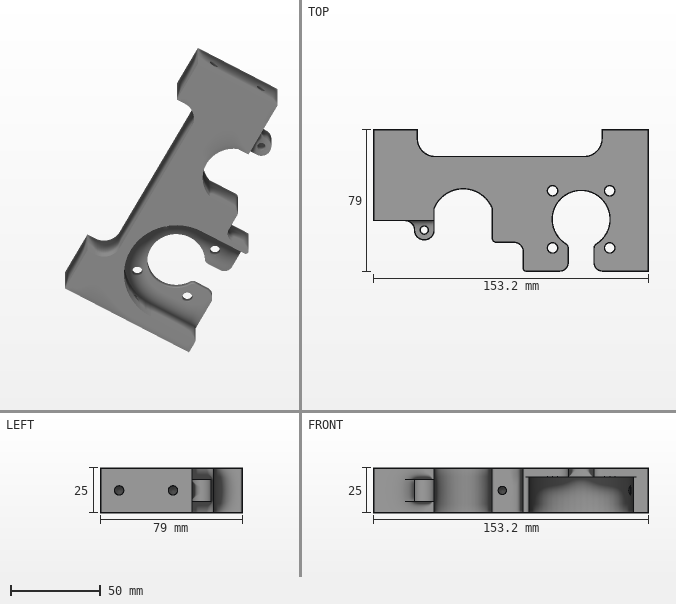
import cadquery as cq
import math

length = 153.2
width = 79.0
height = 25.0
mid_height = height / 2

notch_left = 24.4
notch_right = 127.3
notch_depth = 15.0
notch_radius = 10.0

left_front = 28.2
step_front = 16.1
step_right = 83.3
step_inner_radius = 5.0
step_outer_radius = 2.5
wall_tip_radius = 1.5

channel_left = 33.7
channel_right = 66.0
channel_radius = 17.5
channel_center_y = 28.5

motor_x = 115.7
motor_y = 29.0
roof = 4.9
pocket_radius = 29.1
pocket_mouth_radius = 1.5
bore_radius = 16.1
slit_width = 14.2
slit_mouth_radius = 4.9
slit_inner_radius = 3.0
bolt_pitch = 31.9
bolt_diameter = 5.7

lug_radius = 5.5
lug_x = channel_left - lug_radius
lug_y = 23.0
lug_height = 12.4
lug_fillet = 5.0
lug_hole_diameter = 4.5

drill_point_angle = 118.0
left_hole_ys = (38.8, 68.8)
right_hole_ys = (40.0, 68.8)
side_hole_diameter = 5.2
side_hole_depth = 10.0
front_hole_x = 71.7
front_hole_diameter = 4.6
front_hole_depth = 10.0


def box(x0, x1, y0, y1, z0=0.0, z1=height):
    return cq.Workplane("XY").box(x1 - x0, y1 - y0, z1 - z0, centered=False).translate((x0, y0, z0))


def cylinder(x, y, radius, z0=0.0, z1=height):
    return cq.Workplane("XY", origin=(x, y, z0)).circle(radius).extrude(z1 - z0)


def fillet_upright(body, x, y, radius):
    """Round the single upright edge nearest to (x, y)."""
    return body.edges("|Z").edges(cq.selectors.NearestToPointSelector((x, y, mid_height))).fillet(radius)


def drill(start, direction, diameter, depth):
    """Hole with a conical bottom, going from start along direction."""
    radius = diameter / 2
    tip = radius / math.tan(math.radians(drill_point_angle / 2))
    axis = cq.Vector(*direction)
    shaft = cq.Solid.makeCylinder(radius, depth, cq.Vector(*start), axis)
    point = cq.Solid.makeCone(radius, 0, tip, cq.Vector(*start) + axis * depth, axis)
    return cq.Workplane(shaft.fuse(point))


def make_block():
    notch_front = width - notch_depth
    outline = [
        (0, left_front),
        (channel_right, left_front),
        (channel_right, step_front),
        (step_right, step_front),
        (step_right, 0),
        (length, 0),
        (length, width),
        (notch_right, width),
        (notch_right, notch_front),
        (notch_left, notch_front),
        (notch_left, width),
        (0, width),
    ]
    block = cq.Workplane("XY").polyline(outline).close().extrude(height)
    for x in (notch_left, notch_right):
        block = fillet_upright(block, x, notch_front, notch_radius)
    block = fillet_upright(block, channel_right, step_front, step_outer_radius)
    block = fillet_upright(block, step_right, step_front, step_inner_radius)
    return fillet_upright(block, step_right, 0, wall_tip_radius)


def make_channel():
    strip = box(channel_left, channel_right, 0, width)
    round_end = cylinder((channel_left + channel_right) / 2, channel_center_y, channel_radius)
    lower_part = box(channel_left, channel_right, 0, channel_center_y)
    return round_end.intersect(strip).union(lower_part)


def make_pocket():
    ceiling = height - roof
    straight = box(motor_x - pocket_radius, motor_x + pocket_radius, 0, motor_y, 0, ceiling)
    return cylinder(motor_x, motor_y, pocket_radius, 0, ceiling).union(straight)


def cut_motor_seat(body):
    half_slit = slit_width / 2
    slit = box(motor_x - half_slit, motor_x + half_slit, 0, motor_y)
    body = body.cut(cylinder(motor_x, motor_y, bore_radius)).cut(slit)
    slit_end_y = motor_y - math.sqrt(bore_radius**2 - half_slit**2)
    for side in (-1, 1):
        x = motor_x + side * half_slit
        body = fillet_upright(body, x, 0, slit_mouth_radius)
        body = fillet_upright(body, x, slit_end_y, slit_inner_radius)
    body = body.cut(make_pocket())
    for side in (-1, 1):
        for end in (-1, 1):
            x = motor_x + side * bolt_pitch / 2
            y = motor_y + end * bolt_pitch / 2
            body = body.cut(cylinder(x, y, bolt_diameter / 2))
    return body


def round_pocket_mouth(body):
    ceiling = height - roof
    for side in (-1, 1):
        corner = (motor_x + side * pocket_radius, 0, ceiling / 2)
        edge = body.edges("|Z").edges(cq.selectors.NearestToPointSelector(corner))
        body = edge.fillet(pocket_mouth_radius)
    return body


def make_lug():
    bottom = mid_height - lug_height / 2
    top = mid_height + lug_height / 2
    left = lug_x - lug_radius
    lug = cylinder(lug_x, lug_y, lug_radius, bottom, top)
    lug = lug.union(box(left, channel_left, lug_y, left_front, bottom, top))
    flare = box(left - lug_fillet, left, left_front - lug_fillet, left_front, bottom, top)
    flare = flare.cut(cylinder(left - lug_fillet, left_front - lug_fillet, lug_fillet, bottom, top))
    lug = lug.union(flare)
    return lug.cut(cylinder(lug_x, lug_y, lug_hole_diameter / 2))


result = make_block().cut(make_channel())
result = round_pocket_mouth(cut_motor_seat(result))
result = result.union(make_lug())
for hole_y in left_hole_ys:
    result = result.cut(drill((0, hole_y, mid_height), (1, 0, 0), side_hole_diameter, side_hole_depth))
for hole_y in right_hole_ys:
    result = result.cut(drill((length, hole_y, mid_height), (-1, 0, 0), side_hole_diameter, side_hole_depth))
front_hole_start = (front_hole_x, step_front, mid_height)
result = result.cut(drill(front_hole_start, (0, 1, 0), front_hole_diameter, front_hole_depth))